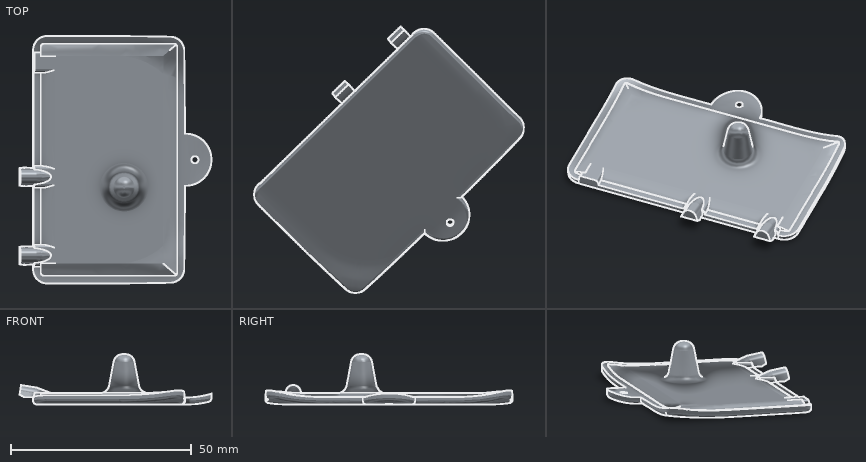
import cadquery as cq
import math

PLATE_X = 42.1
HALF_Y = 34.27
CORNER_R = 4.0
CORNER_PULL_IN = 0.25
LEDGE_T = 2.0
PLATEAU_T = 3.2
UNDER_FILLET = 1.1
DOWNWARD = -0.7
REACH = 13.0

BEND_R = 29.0
FLAT_HALF_Y = 28.6
FLAT_CORNER_R = 17.8
FLAT_CORNER_X = 23.8
FLAT_CORNER_Y = FLAT_HALF_Y - FLAT_CORNER_R
FLAT_RIGHT_X = 43.0
FLAT_LEFT_X = -1.0

RIGHT_INNER_X = FLAT_RIGHT_X - FLAT_CORNER_R
SHALLOW_X = (RIGHT_INNER_X**2 - FLAT_CORNER_X**2 - FLAT_CORNER_Y**2) / (2 * (RIGHT_INNER_X - FLAT_CORNER_X))
SHALLOW_R = FLAT_RIGHT_X - SHALLOW_X
JOIN_ANGLE = math.atan2(FLAT_CORNER_Y, FLAT_CORNER_X - SHALLOW_X)

TAB_R = 7.25
TAB_END_X = 49.42
TAB_X = TAB_END_X - TAB_R
TAB_BEND_R = 22.0
TAB_HOLE_X = 44.8
TAB_HOLE_D = 1.9

RIM_W = 2.2
PLATEAU_CORNER_R = 0.8
SLOPE_LEFT = 4.0
SLOPE_RIGHT = 3.9
SLOPE_ENDS = 3.4
SLOPE_START = 0.06
SLOPE_OVERLAP = 0.4
SLOPE_FIT = 0.005
STEPS_DOWN = 10
STEPS_ALONG = 50
FOOT_STEP = 0.1
CUT_H = 5.0
OVERRUN = 1.0
EMBED = 0.2

TONGUE_X1 = RIM_W + SLOPE_LEFT
TONGUE_HALF_W = 3.05
TONGUE_FILLET = 1.05
BLOCK_Y0 = 24.0
BLOCK_Y1 = 29.75
BLOCK_OUTER_FILLET = 0.6

LEAN_Z0 = 1.35
LEAN_SETBACK = 0.45

LUG_YS = (-4.75, -26.5)
LUG_X0 = -3.75
LUG_Z0 = 2.72
LUG_H = 2.75
LUG_TILT = math.radians(9.2)
LUG_L = 4.4
NOSE_TILT = math.radians(21)
NOSE_L = 6.0
LUG_HALF_W = 2.05
LUG_SHOULDER_H = 1.1
LUG_FLARE = 0.37
LUG_SKIRT = 1.5
LUG_CHIN_X = -2.4

PIN_X = 25.2
PIN_Y = -7.6
PIN_TOP_Z = 14.0
PIN_FOOT_R = 6.7
PIN_NECK_R = 4.2
PIN_NECK_Z = 5.1
PIN_SHOULDER_R = 2.95
PIN_SHOULDER_Z = 11.8
PIN_TIP_R = 0.35


def curl_profile(edge, bend_r, thickness):
    """Section of a curled sheet in a (distance, height) plane, curling up beyond 'edge'."""
    turn = math.asin(REACH / bend_r)
    inner_r = bend_r - thickness

    def on_arc(radius, angle):
        return edge + radius * math.sin(angle), bend_r - radius * math.cos(angle)

    return (
        cq.Workplane("XZ")
        .moveTo(edge, 0)
        .threePointArc(on_arc(bend_r, turn / 2), on_arc(bend_r, turn))
        .lineTo(*on_arc(inner_r, turn))
        .threePointArc(on_arc(inner_r, turn / 2), (edge, thickness))
        .close()
    )


def curled_sector(centre, radius, start, end, bend_r, thickness):
    """Curled sheet outside an arc of the flat region, between two angles about its centre."""
    sector = curl_profile(radius, bend_r, thickness).revolve(
        math.degrees(end - start), (0, 0, 0), (0, 1, 0)
    )
    if sector.val().Center().y < 0:
        sector = sector.mirror("XZ")
    return sector.rotate((0, 0, 0), (0, 0, 1), math.degrees(start)).translate((*centre, 0))


def polar(centre, radius, angle):
    return centre[0] + radius * math.cos(angle), centre[1] + radius * math.sin(angle)


def curled_sheet(thickness):
    """Sheet covering the whole plate: flat inside the boundary, curled up outside it."""
    corner = (FLAT_CORNER_X, FLAT_CORNER_Y)
    mid_angle = (JOIN_ANGLE + math.pi / 2) / 2
    join = polar(corner, FLAT_CORNER_R, JOIN_ANGLE)
    middle = polar(corner, FLAT_CORNER_R, mid_angle)
    sheet = (
        cq.Workplane("XY")
        .moveTo(FLAT_LEFT_X, -FLAT_HALF_Y)
        .lineTo(FLAT_CORNER_X, -FLAT_HALF_Y)
        .threePointArc((middle[0], -middle[1]), (join[0], -join[1]))
        .threePointArc((FLAT_RIGHT_X, 0), join)
        .threePointArc(middle, (FLAT_CORNER_X, FLAT_HALF_Y))
        .lineTo(FLAT_LEFT_X, FLAT_HALF_Y)
        .close()
        .extrude(thickness)
    )
    end_strip = (
        curl_profile(FLAT_HALF_Y, BEND_R, thickness)
        .extrude(-(FLAT_CORNER_X - FLAT_LEFT_X))
        .rotate((0, 0, 0), (0, 0, 1), 90)
        .translate((FLAT_CORNER_X, 0, 0))
    )
    corner_piece = curled_sector(corner, FLAT_CORNER_R, JOIN_ANGLE, math.pi / 2, BEND_R, thickness)
    for piece in (end_strip, corner_piece):
        sheet = sheet.union(piece).union(piece.mirror("XZ"))
    right_piece = curled_sector((SHALLOW_X, 0), SHALLOW_R, -JOIN_ANGLE, JOIN_ANGLE, BEND_R, thickness)
    return sheet.union(right_piece)


def round_underside(body):
    """Fillet the outline of the downward faces of a curled body."""
    under_faces = [f for f in body.faces().vals() if f.normalAt().z < DOWNWARD]
    edges = [e for f in under_faces for e in f.Edges()]
    rim = [e for e in edges if sum(e.isSame(other) for other in edges) == 1]
    return cq.Workplane(body.val().fillet(UNDER_FILLET, rim))


def ledge():
    upper = [
        (0, HALF_Y),
        (FLAT_CORNER_X, HALF_Y),
        (PLATE_X - CORNER_PULL_IN, HALF_Y - CORNER_PULL_IN),
        (PLATE_X, FLAT_CORNER_Y),
    ]
    lower = [(x, -y) for x, y in reversed(upper)]
    prism = cq.Workplane("XY").polyline(upper + lower).close().extrude(CUT_H)
    right_corner_x = PLATE_X - CORNER_PULL_IN
    for x, y in ((0, HALF_Y), (right_corner_x, HALF_Y - CORNER_PULL_IN)):
        for side in (y, -y):
            prism = prism.edges(cq.selectors.NearestToPointSelector((x, side, CUT_H / 2))).fillet(CORNER_R)
    return round_underside(prism.intersect(curled_sheet(LEDGE_T)))


def tab():
    """Half-round pull tab, flat at the plate and curling up towards its end."""
    half_angle = math.asin((TAB_R + OVERRUN) / SHALLOW_R)
    curled = curled_sector((SHALLOW_X, 0), SHALLOW_R, -half_angle, half_angle, TAB_BEND_R, LEDGE_T)
    root = cq.Workplane("XY").circle(SHALLOW_R).extrude(LEDGE_T).translate((SHALLOW_X, 0, 0))
    root_x = PLATE_X - 2 * UNDER_FILLET
    outline = (
        cq.Workplane("XY")
        .moveTo(root_x, -TAB_R)
        .lineTo(TAB_X, -TAB_R)
        .threePointArc((TAB_END_X, 0), (TAB_X, TAB_R))
        .lineTo(root_x, TAB_R)
        .close()
        .extrude(CUT_H)
    )
    body = round_underside(outline.intersect(root.union(curled)))
    hole = cq.Workplane("XY").center(TAB_HOLE_X, 0).circle(TAB_HOLE_D / 2).extrude(CUT_H)
    return body.cut(hole)


def lift(x, y):
    """Height gained by the curled sheet above a point of the plate."""
    y = abs(y)
    if x < FLAT_CORNER_X:
        beyond = y - FLAT_HALF_Y
    elif math.atan2(y, x - SHALLOW_X) < JOIN_ANGLE:
        beyond = math.hypot(x - SHALLOW_X, y) - SHALLOW_R
    else:
        beyond = math.hypot(x - FLAT_CORNER_X, y - FLAT_CORNER_Y) - FLAT_CORNER_R
    inner_r = BEND_R - PLATEAU_T
    beyond = max(beyond, 0)
    return inner_r - math.sqrt(inner_r**2 - beyond**2)


def slope_cutter(run, length_range, place):
    """Solid above a convex margin that drops from the plateau towards the ledge over 'run'.

    'place' maps (distance along the margin, distance down the slope) to plate X, Y.
    """
    drop = PLATEAU_T - LEDGE_T - FOOT_STEP
    curve = (drop - SLOPE_START * run) / run**2
    down_start = -SLOPE_OVERLAP
    down_end = run + 2 * SLOPE_OVERLAP
    along_start, along_end = length_range
    grid = []
    for i in range(STEPS_ALONG + 1):
        along = along_start + (along_end - along_start) * i / STEPS_ALONG
        row = []
        for j in range(STEPS_DOWN + 1):
            down = down_start + (down_end - down_start) * j / STEPS_DOWN
            x, y = place(along, down)
            fall = SLOPE_START * down + curve * down * abs(down)
            row.append(cq.Vector(x, y, PLATEAU_T + lift(x, y) - fall))
        grid.append(row)
    face = cq.Face.makeSplineApprox(grid, tol=SLOPE_FIT, minDeg=1, maxDeg=5)
    return cq.Workplane(cq.Solid.extrudeLinear(face, cq.Vector(0, 0, CUT_H)))


def plateau():
    right_x = PLATE_X - RIM_W
    half_y = HALF_Y - RIM_W
    prism = (
        cq.Workplane("XY")
        .rect(right_x - RIM_W, 2 * half_y)
        .extrude(CUT_H)
        .edges("|Z")
        .fillet(PLATEAU_CORNER_R)
        .translate(((right_x + RIM_W) / 2, 0, LEDGE_T - EMBED))
    )
    body = prism.intersect(curled_sheet(PLATEAU_T))

    end_y = half_y - SLOPE_ENDS
    x_range = (RIM_W - OVERRUN, right_x + OVERRUN)
    y_range = (-half_y - OVERRUN, half_y + OVERRUN)
    left_range = (-end_y, end_y)
    body = body.cut(slope_cutter(SLOPE_RIGHT, y_range, lambda s, d: (right_x - SLOPE_RIGHT + d, s)))
    body = body.cut(slope_cutter(SLOPE_ENDS, x_range, lambda s, d: (s, end_y + d)))
    body = body.cut(slope_cutter(SLOPE_ENDS, x_range, lambda s, d: (s, -end_y - d)))
    return body.cut(slope_cutter(SLOPE_LEFT, left_range, lambda s, d: (TONGUE_X1 - d, s)))


def tongue(y0, y1, fillet_low, fillet_high):
    """Round-shouldered extension of the plateau, kept off the sloping end margins."""
    body = cq.Workplane("XY").box(TONGUE_X1, y1 - y0, PLATEAU_T - LEDGE_T + EMBED, centered=False)
    body = body.translate((0, y0, LEDGE_T - EMBED))
    body = body.edges("|X and >Z and <Y").fillet(fillet_low)
    body = body.edges("|X and >Z and >Y").fillet(fillet_high)
    margin_y = HALF_Y - RIM_W - SLOPE_ENDS
    clear_of_margins = (
        cq.Workplane("XY")
        .box(TONGUE_X1, 2 * margin_y, CUT_H, centered=(False, True, False))
        .union(cq.Workplane("XY").box(RIM_W, 2 * HALF_Y, CUT_H, centered=(False, True, False)))
    )
    return body.intersect(clear_of_margins)


def hinge_edge_lean():
    """Wedge that trims the hinge edge to its leaning face."""
    return (
        cq.Workplane("XZ")
        .moveTo(0, LEAN_Z0)
        .lineTo(LEAN_SETBACK, PLATEAU_T)
        .lineTo(LEAN_SETBACK, CUT_H)
        .lineTo(-LEAN_SETBACK, CUT_H)
        .lineTo(-LEAN_SETBACK, LEAN_Z0)
        .close()
        .extrude(BLOCK_Y1, both=True)
    )


def lug(y):
    """Domed bar that slopes down to the plate, then dives into the plateau as a nose."""
    foot_half_w = LUG_HALF_W + LUG_FLARE * (LUG_SHOULDER_H + LUG_SKIRT)
    end_plane = cq.Plane(
        origin=(LUG_X0, y, LUG_Z0),
        xDir=(0, 1, 0),
        normal=(math.cos(LUG_TILT), 0, -math.sin(LUG_TILT)),
    )
    section = (
        cq.Workplane(end_plane)
        .moveTo(-foot_half_w, -LUG_SKIRT)
        .lineTo(foot_half_w, -LUG_SKIRT)
        .lineTo(LUG_HALF_W, LUG_SHOULDER_H)
        .threePointArc((0, LUG_H), (-LUG_HALF_W, LUG_SHOULDER_H))
        .close()
        .wire()
        .val()
    )
    bar_path = cq.Vector(math.cos(LUG_TILT), 0, -math.sin(LUG_TILT)) * LUG_L
    nose_path = cq.Vector(math.cos(NOSE_TILT), 0, -math.sin(NOSE_TILT)) * NOSE_L
    bar = cq.Workplane(cq.Solid.extrudeLinear(section, [], bar_path))
    nose = cq.Workplane(cq.Solid.extrudeLinear(section.translate(bar_path), [], nose_path))
    side = (
        cq.Workplane("XZ")
        .moveTo(LUG_X0, LUG_Z0)
        .lineTo(LUG_CHIN_X, LEDGE_T)
        .lineTo(TONGUE_X1, LEDGE_T)
        .lineTo(TONGUE_X1, LUG_Z0 + LUG_H)
        .lineTo(LUG_X0, LUG_Z0 + LUG_H)
        .close()
        .extrude(TONGUE_HALF_W, both=True)
        .translate((0, y, 0))
    )
    return bar.union(nose).intersect(side)


def pin():
    foot_rise = PIN_NECK_Z - PLATEAU_T
    foot_run = PIN_FOOT_R - PIN_NECK_R
    foot_fillet = (foot_run**2 + foot_rise**2) / (2 * foot_rise)
    return (
        cq.Workplane("XZ")
        .moveTo(0, LEDGE_T)
        .lineTo(PIN_FOOT_R, LEDGE_T)
        .lineTo(PIN_FOOT_R, PLATEAU_T)
        .radiusArc((PIN_NECK_R, PIN_NECK_Z), foot_fillet)
        .lineTo(PIN_SHOULDER_R, PIN_SHOULDER_Z)
        .tangentArcPoint((PIN_TIP_R, PIN_TOP_Z), relative=False)
        .lineTo(0, PIN_TOP_Z)
        .close()
        .revolve(360, (0, 0, 0), (0, 1, 0))
        .translate((PIN_X, PIN_Y, 0))
    )


result = ledge().union(tab()).union(plateau()).union(pin())
result = result.union(tongue(BLOCK_Y0, BLOCK_Y1, TONGUE_FILLET, BLOCK_OUTER_FILLET))
for lug_y in LUG_YS:
    result = result.union(
        tongue(lug_y - TONGUE_HALF_W, lug_y + TONGUE_HALF_W, TONGUE_FILLET, TONGUE_FILLET)
    )
result = result.cut(hinge_edge_lean())
for lug_y in LUG_YS:
    result = result.union(lug(lug_y))